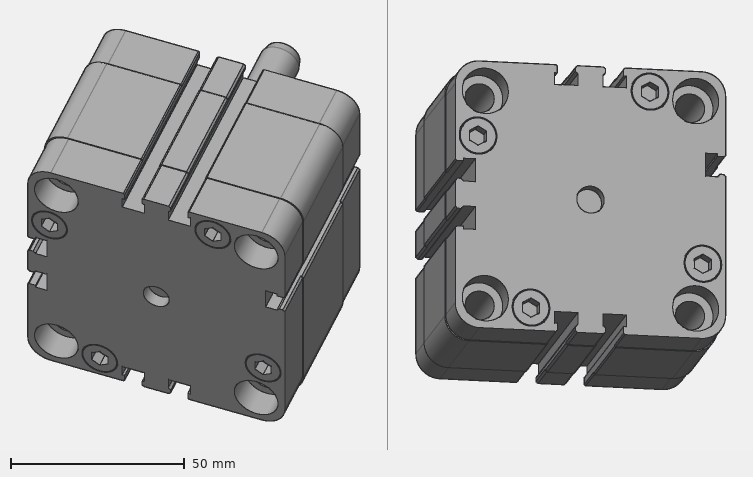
import cadquery as cq
import math


barrel_width = 80.0
cap_width = 79.4
body_length = 60.0
barrel_length = 31.5
cap_length = (body_length - barrel_length) / 2
corner_radius = 7.1

slot_floor = 33.8
lip_floor = 37.3
slot_width = 6.8
mouth_width = 5.3
outer_lip_chamfer = 0.4
rail_lip_chamfer = 0.6
cut_margin = 1.0
pair_offset = 7.1
single_offset = 12.1

mount_offset = 30.9
mount_diameter = 8.5
counterbore_diameter = 13.5
counterbore_depth = 8.5

screw_near = 17.5
screw_far = 33.0
screw_pocket_diameter = 11.1
screw_head_diameter = 10.5
screw_gap_depth = 5.1
hex_across_flats = 5.0
hex_depth = 4.1

centre_hole_diameter = 8.0
centre_hole_depth = 4.0

overall_length = 101.5
rod_length = overall_length - body_length
rod_diameter = 16.0
shoulder_position = 17.5
shoulder_diameter = 13.5
shoulder_rounding_length = 1.7
neck_diameter = 10.5
thread_diameter = 12.0
thread_start = 20.5
thread_chamfer = (thread_diameter - neck_diameter) / 2
tip_taper_length = 2.8
flat_width = 13.0
flat_end = 11.8


def on_y(y):
    """Workplane at position y whose local axes are X and Z and whose normal is -Y."""
    return cq.Workplane("XZ", origin=(0, y, 0))


def slot_cutter(half_width, offset, side, start, length):
    """Slot for the +Z face; the outer lip lies on the given side, away from the rail."""
    half_slot = slot_width / 2
    half_mouth = mouth_width / 2
    lip_overhang = half_slot - half_mouth
    above = half_width + cut_margin
    outer_edge = half_mouth + outer_lip_chamfer
    rail_edge = half_mouth + rail_lip_chamfer
    slot = (
        on_y(start)
        .moveTo(-half_slot, slot_floor)
        .lineTo(half_slot, slot_floor)
        .lineTo(half_slot, lip_floor)
        .lineTo(half_mouth, lip_floor)
        .lineTo(half_mouth, half_width - outer_lip_chamfer)
        .lineTo(outer_edge, half_width)
        .lineTo(outer_edge, above)
        .lineTo(-rail_edge, above)
        .lineTo(-rail_edge, half_width)
        .lineTo(-half_mouth, half_width - rail_lip_chamfer)
        .lineTo(-half_mouth, lip_floor + lip_overhang)
        .lineTo(-half_slot, lip_floor)
        .close()
        .extrude(-length)
    )
    if side < 0:
        slot = slot.mirror("YZ")
    return slot.translate((side * offset, 0, 0))


def body_section(width, start, length):
    """One length of the body: rounded square with its slots."""
    section = on_y(start).rect(width, width).extrude(-length).edges("|Y").fillet(corner_radius)

    def cut_slot(block, offset, side, face_angle):
        slot = slot_cutter(width / 2, offset, side, start, length)
        return block.cut(slot.rotate((0, 0, 0), (0, 1, 0), face_angle))

    for face_angle in (0, 180, 270):
        for side in (1, -1):
            section = cut_slot(section, pair_offset, side, face_angle)
    return cut_slot(section, single_offset, -1, 90)


def mounting_holes():
    corners = [(x, z) for x in (-mount_offset, mount_offset) for z in (-mount_offset, mount_offset)]
    holes = on_y(0).pushPoints(corners).circle(mount_diameter / 2).extrude(-body_length)
    bores = on_y(0).pushPoints(corners).circle(counterbore_diameter / 2).extrude(-counterbore_depth)
    return holes.union(bores)


def screw_cuts():
    """Ring gap around each flush screw head, plus its hexagon socket."""
    places = [
        (screw_near, screw_far),
        (screw_far, -screw_near),
        (-screw_near, -screw_far),
        (-screw_far, screw_near),
    ]
    cuts = (
        on_y(0).pushPoints(places)
        .circle(screw_pocket_diameter / 2).circle(screw_head_diameter / 2)
        .extrude(-screw_gap_depth)
    )
    hex_radius = hex_across_flats / 2 / math.cos(math.pi / 6)
    corners = [
        (hex_radius * math.sin(i * math.pi / 3), hex_radius * math.cos(i * math.pi / 3))
        for i in range(6)
    ]
    for x, z in places:
        socket = on_y(0).polyline([(x + dx, z + dz) for dx, dz in corners]).close().extrude(-hex_depth)
        cuts = cuts.union(socket)
    return cuts


def piston_rod():
    """Turned rod with a neck, a threaded end and two wrench flats."""
    neck_radius = neck_diameter / 2
    thread_radius = thread_diameter / 2
    rod_radius = rod_diameter / 2
    rod = (
        cq.Workplane("XY")
        .lineTo(rod_radius, 0)
        .lineTo(rod_radius, shoulder_position - shoulder_rounding_length)
        .tangentArcPoint((shoulder_diameter / 2, shoulder_position), relative=False)
        .lineTo(neck_radius, shoulder_position)
        .lineTo(neck_radius, thread_start - thread_chamfer)
        .lineTo(thread_radius, thread_start)
        .lineTo(thread_radius, rod_length - tip_taper_length)
        .lineTo(neck_radius, rod_length)
        .lineTo(0, rod_length)
        .close()
        .revolve(360, (0, 0), (0, 1))
    )

    flat = flat_width / 2
    runout = rod_radius - flat
    flat_cut = (
        cq.Workplane("XY")
        .polyline([
            (flat, shoulder_position),
            (flat, flat_end),
            (rod_radius, flat_end - runout),
            (rod_radius, shoulder_position),
        ])
        .close()
        .extrude(rod_radius, both=True)
    )
    rod = rod.cut(flat_cut).cut(flat_cut.mirror("YZ"))
    return rod.translate((0, body_length, 0))


body = (
    body_section(cap_width, 0, cap_length)
    .union(body_section(barrel_width, cap_length, barrel_length))
    .union(body_section(cap_width, cap_length + barrel_length, cap_length))
)
centre_hole = on_y(0).circle(centre_hole_diameter / 2).extrude(-centre_hole_depth)
body = body.cut(mounting_holes()).cut(screw_cuts()).cut(centre_hole)

result = body.union(piston_rod())